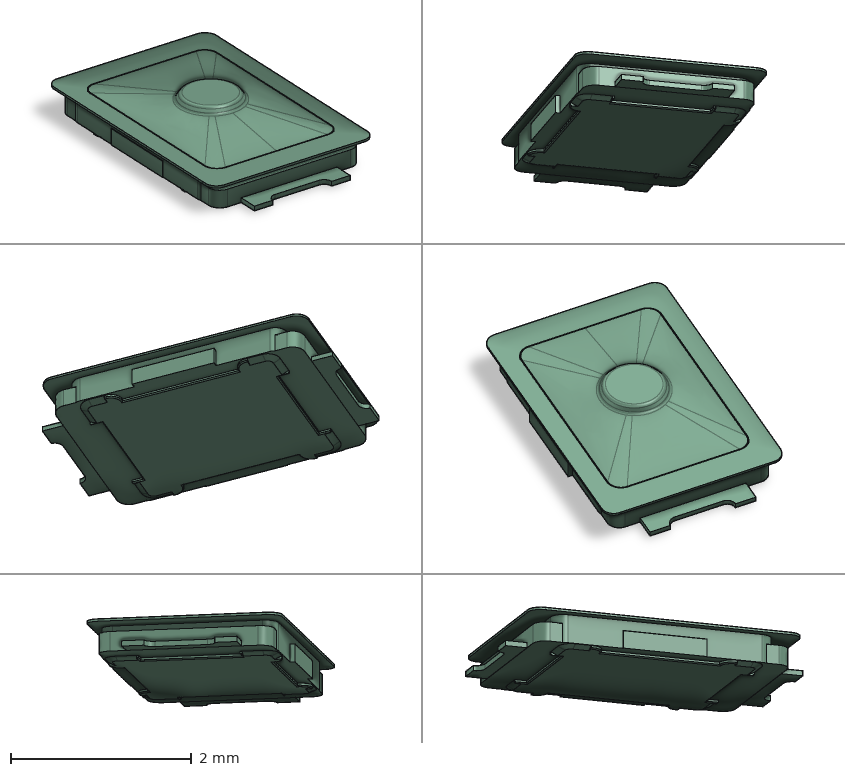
import cadquery as cq
import math


HOUSING_BOTTOM = 0.04
TERMINAL_TOP = 0.098
TAB_TOP = 0.24
SHOULDER_TOP = 0.26
HOUSING_TOP = 0.36
FILM_TOP = 0.39
BUTTON_BASE = 0.515
OVERALL_TOP = 0.6

CORNER_RADIUS = 0.15
ARC_MIDDLE = math.sqrt(0.5)

BODY_LENGTH, BODY_WIDTH = 2.59, 1.99
SHOULDER_LENGTH, SHOULDER_WIDTH = 2.995, 1.97
TAB_LENGTH = 0.987
FRONT_TAB_REACH = 1.005
BACK_TAB_REACH = 1.05

BASE_LENGTH, BASE_WIDTH = 2.398, 1.96
BASE_BEVEL_ANGLE = 65
LONG_SIDE_FOOT_END = 0.86
SHORT_SIDE_FOOT_END = 0.595
LONG_SIDE_NOTCH = 1.4
SHORT_SIDE_NOTCH = 1.148
NOTCH_DEPTH = 0.14
BASE_CHAMFER = 0.015

FILM_LENGTH, FILM_WIDTH = 3.192, 2.2
WINDOW_LENGTH, WINDOW_WIDTH = 2.525, 1.725
WINDOW_RADIUS = 0.17
DOME_GAP = 0.01

BUTTON_FOOT_RADIUS = 0.42
BUTTON_CONE_BASE_RADIUS, BUTTON_CONE_BASE = 0.385, 0.535
BUTTON_CONE_TOP_RADIUS, BUTTON_CONE_TOP = 0.36, 0.575
BUTTON_FACE_RADIUS = 0.32

OVERALL_LENGTH = 3.5
TERMINAL_WIDTH = 1.302
TERMINAL_NOTCH_DEPTH = 0.1
TERMINAL_NOTCH_HALF_WIDTH = 0.4


def box_between(x_range, y_range, z_range):
    """Box spanning the given coordinate ranges."""
    (x0, x1), (y0, y1), (z0, z1) = x_range, y_range, z_range
    return cq.Workplane("XY").box(x1 - x0, y1 - y0, z1 - z0, centered=False).translate((x0, y0, z0))


def rounded_block(length, width, bottom, top, radius):
    """Centred block with rounded vertical edges."""
    block = cq.Workplane("XY").workplane(offset=bottom).rect(length, width).extrude(top - bottom)
    return block.edges("|Z").fillet(radius)


def side_notch(length):
    """Cutter for a notch on the -Y edge of a base, centred on X, with its mouth rounded outwards."""
    half = length / 2
    arc_offset = NOTCH_DEPTH * ARC_MIDDLE
    arc_x = half + NOTCH_DEPTH - arc_offset
    arc_y = NOTCH_DEPTH - arc_offset
    return (
        cq.Workplane("XY")
        .moveTo(-half - NOTCH_DEPTH, 0)
        .threePointArc((-arc_x, arc_y), (-half, NOTCH_DEPTH))
        .lineTo(half, NOTCH_DEPTH)
        .threePointArc((arc_x, arc_y), (half + NOTCH_DEPTH, 0))
        .close()
        .extrude(HOUSING_BOTTOM)
    )


def make_base():
    """Shallow base: bevelled corners, upright feet beside them and a notch in every side."""
    base = rounded_block(BASE_LENGTH, BASE_WIDTH, 0, HOUSING_BOTTOM, CORNER_RADIUS)
    bevelled = (
        base.faces(">Z").wires().toPending()
        .workplane(origin=(0, 0, HOUSING_BOTTOM))
        .extrude(-HOUSING_BOTTOM, combine=False, taper=BASE_BEVEL_ANGLE)
    )
    upright_x = cq.Workplane("XY").rect(2 * LONG_SIDE_FOOT_END, BASE_WIDTH).extrude(HOUSING_BOTTOM)
    upright_y = cq.Workplane("XY").rect(BASE_LENGTH, 2 * SHORT_SIDE_FOOT_END).extrude(HOUSING_BOTTOM)

    long_notch = side_notch(LONG_SIDE_NOTCH).translate((0, -BASE_WIDTH / 2, 0))
    short_notch = (
        cq.Workplane("XY").rect(2 * NOTCH_DEPTH, SHORT_SIDE_NOTCH).extrude(HOUSING_BOTTOM)
        .translate((-BASE_LENGTH / 2, 0, 0))
    )
    for turn in (0, 180):
        base = base.cut(long_notch.rotate((0, 0, 0), (0, 0, 1), turn))
        base = base.cut(short_notch.rotate((0, 0, 0), (0, 0, 1), turn))
    base = base.faces("<Z").edges().chamfer(BASE_CHAMFER)
    return base.intersect(bevelled.union(upright_x).union(upright_y))


def make_housing():
    """Body with lower end shoulders, a tab on each long side and a base below."""
    body = rounded_block(BODY_LENGTH, BODY_WIDTH, HOUSING_BOTTOM, HOUSING_TOP, CORNER_RADIUS)
    shoulders = rounded_block(
        SHOULDER_LENGTH, SHOULDER_WIDTH, HOUSING_BOTTOM, SHOULDER_TOP, CORNER_RADIUS
    )
    tabs = box_between(
        (-TAB_LENGTH / 2, TAB_LENGTH / 2),
        (-FRONT_TAB_REACH, BACK_TAB_REACH),
        (HOUSING_BOTTOM, TAB_TOP),
    )
    return body.union(shoulders).union(tabs).union(make_base())


def make_film():
    """Thin frame lying on the housing, with a rounded window."""
    film = rounded_block(FILM_LENGTH, FILM_WIDTH, HOUSING_TOP, FILM_TOP, CORNER_RADIUS)
    window = rounded_block(WINDOW_LENGTH, WINDOW_WIDTH, HOUSING_TOP, FILM_TOP, WINDOW_RADIUS)
    return film.cut(window)


def make_dome():
    """Rounded rectangle that rises through the film window and blends into a round button."""
    length = WINDOW_LENGTH - 2 * DOME_GAP
    width = WINDOW_WIDTH - 2 * DOME_GAP
    radius = WINDOW_RADIUS - DOME_GAP
    foot = rounded_block(length, width, HOUSING_TOP, FILM_TOP, radius)
    foot_outline = foot.faces(">Z").wires().val()
    button_outline = cq.Wire.makeCircle(
        BUTTON_FOOT_RADIUS, cq.Vector(0, 0, BUTTON_BASE), cq.Vector(0, 0, 1)
    )
    slope = cq.Workplane(cq.Solid.makeLoft([foot_outline, button_outline]))
    return foot.union(slope).union(make_button())


def make_button():
    """Cone with a flared foot and a rounded rim."""
    cone_base = cq.Vector(BUTTON_CONE_BASE_RADIUS, BUTTON_CONE_BASE)
    cone_top = cq.Vector(BUTTON_CONE_TOP_RADIUS, BUTTON_CONE_TOP)
    cone_direction = cone_top - cone_base
    foot_edge = cq.Vector(BUTTON_FOOT_RADIUS, BUTTON_BASE)
    face_edge = cq.Vector(BUTTON_FACE_RADIUS, OVERALL_TOP)
    flare = cq.Edge.makeTangentArc(cone_base, cone_direction * -1, foot_edge)
    rim = cq.Edge.makeTangentArc(cone_top, cone_direction, face_edge)
    axis_top = cq.Vector(0, OVERALL_TOP)
    axis_base = cq.Vector(0, BUTTON_BASE)
    outline = cq.Wire.assembleEdges([
        cq.Edge.makeLine(axis_base, foot_edge),
        flare,
        cq.Edge.makeLine(cone_base, cone_top),
        rim,
        cq.Edge.makeLine(face_edge, axis_top),
        cq.Edge.makeLine(axis_top, axis_base),
    ])
    turned = cq.Solid.revolve(outline, [], 360, cq.Vector(0, 0, 0), cq.Vector(0, 1, 0))
    return cq.Workplane(turned).rotate((0, 0, 0), (1, 0, 0), 90)


def make_terminal(side):
    """Flat plate against one end of the housing (side is -1 or 1), notched at its outer edge."""
    inner = side * SHOULDER_LENGTH / 2
    outer = side * OVERALL_LENGTH / 2
    notch_floor = outer - side * TERMINAL_NOTCH_DEPTH
    half_width = TERMINAL_WIDTH / 2
    lip = TERMINAL_NOTCH_HALF_WIDTH
    floor_end = lip - TERMINAL_NOTCH_DEPTH
    arc_reach = TERMINAL_NOTCH_DEPTH * ARC_MIDDLE
    arc_mid_x = outer - side * arc_reach
    arc_mid_y = floor_end + arc_reach
    return (
        cq.Workplane("XY").workplane(offset=HOUSING_BOTTOM)
        .moveTo(inner, -half_width)
        .lineTo(outer, -half_width)
        .lineTo(outer, -lip)
        .threePointArc((arc_mid_x, -arc_mid_y), (notch_floor, -floor_end))
        .lineTo(notch_floor, floor_end)
        .threePointArc((arc_mid_x, arc_mid_y), (outer, lip))
        .lineTo(outer, half_width)
        .lineTo(inner, half_width)
        .close()
        .extrude(TERMINAL_TOP - HOUSING_BOTTOM)
    )


housing = make_housing()
film = make_film()
dome = make_dome()
terminals = [make_terminal(side) for side in (-1, 1)]

result = cq.Compound.makeCompound(
    [housing.val(), film.val(), dome.val(), *[terminal.val() for terminal in terminals]]
)